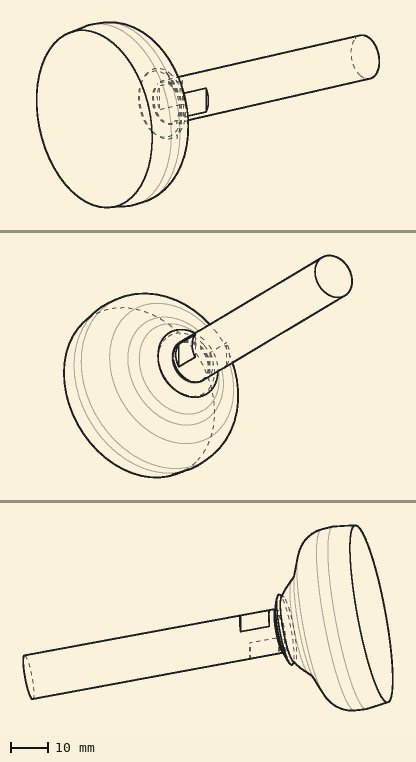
import cadquery as cq
import math


overall_height = 95.0

base_radius = 24.25
rim_radius = 25.0
rim_height = 6.0
side_top_radius = 24.8
side_top_height = 9.2
shoulder_radius = 20.0
shoulder_height = 15.8
fillet_base_radius = 15.4
fillet_base_height = 17.75
crown_sphere_radius = 16.5
crown_center_height = side_top_height
crown_base_height = 19.5
foot_height = 23.0

stem_diameter = 12.0
stem_radius = stem_diameter / 2
collar_rim_radius = 9.65
collar_rim_height = 23.85
collar_top_radius = 6.0
collar_top_height = 25.0
groove_radius = 5.7
groove_width = 0.5
groove_top_height = collar_top_height + groove_width

across_flats = 10.0
flat_length = 8.0
flat_base_height = 27.0


def crown_radius(height):
    """Radius of the spherical crown of the foot at a height."""
    return math.sqrt(crown_sphere_radius**2 - (height - crown_center_height) ** 2)


def revolve_about_y(profile):
    """Turn a closed half profile, drawn in the XY plane, about the Y axis."""
    return profile.close().revolve(360, (0, 0, 0), (0, 1, 0))


def make_foot():
    """Bell-shaped foot with a spherical crown and a flat seat for the stem collar."""
    crown_top_radius = crown_radius(foot_height)
    crown_base_radius = crown_radius(crown_base_height)
    crown_middle_height = (crown_base_height + foot_height) / 2
    crown_middle = (crown_radius(crown_middle_height), crown_middle_height)
    profile = (
        cq.Workplane("XY")
        .lineTo(0, foot_height)
        .lineTo(crown_top_radius, foot_height)
        .threePointArc(crown_middle, (crown_base_radius, crown_base_height))
        .tangentArcPoint((fillet_base_radius, fillet_base_height), relative=False)
        .lineTo(shoulder_radius, shoulder_height)
        .tangentArcPoint((side_top_radius, side_top_height), relative=False)
        .lineTo(rim_radius, rim_height)
        .lineTo(base_radius, 0)
    )
    return revolve_about_y(profile)


def cut_wrench_flats(stem):
    """Cut the two opposite flats into the stem just above the collar."""
    cut_depth = stem_radius - across_flats / 2
    flat_middle_height = flat_base_height + flat_length / 2
    for side in (-1, 1):
        cutter = cq.Workplane("XY").box(2 * cut_depth, flat_length, stem_diameter)
        cutter = cutter.translate((side * (across_flats / 2 + cut_depth), flat_middle_height, 0))
        stem = stem.cut(cutter)
    return stem


def make_stem():
    """Round stem with a domed collar, a narrow groove above it and two flats."""
    collar_base_radius = crown_radius(foot_height)
    profile = (
        cq.Workplane("XY")
        .moveTo(0, foot_height)
        .lineTo(0, overall_height)
        .lineTo(stem_radius, overall_height)
        .lineTo(stem_radius, groove_top_height)
        .lineTo(groove_radius, groove_top_height)
        .lineTo(groove_radius, collar_top_height)
        .lineTo(collar_top_radius, collar_top_height)
        .tangentArcPoint((collar_rim_radius, collar_rim_height), relative=False)
        .lineTo(collar_base_radius, foot_height)
    )
    return cut_wrench_flats(revolve_about_y(profile))


foot = make_foot()
stem = make_stem()

result = cq.Compound.makeCompound([foot.val(), stem.val()])